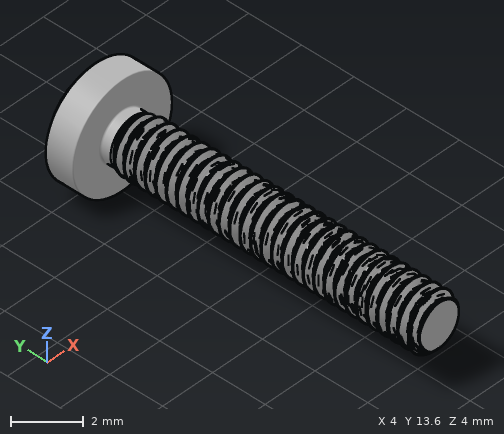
import cadquery as cq
import math

total_length = 13.6
head_radius = 2.0
head_height = 1.6
head_rim_height = 1.05
head_flat_radius = 0.98
dome_radius = 3.05
head_edge_fillet = 0.04

shank_length = total_length - head_height
neck_radius = 0.88
neck_length = 0.37
neck_fillet = 0.07
run_in_length = 0.37
tip_radius = 0.82
tip_chamfer_length = 0.18

major_diameter = 2.0
major_radius = major_diameter / 2
pitch = major_diameter / 5
root_radius = 0.76
root_width = pitch / 4
crest_width = pitch / 8
thread_length = shank_length - neck_length
flank_points = 7

crest_clearance = 0.03
clear_radius = major_radius + crest_clearance


def revolve_profile(profile):
    """Turn a half profile, drawn with x as radius, about the Y axis."""
    return profile.close().revolve(360, (0, 0, 0), (0, 1, 0))


def make_head():
    """Cylindrical rim under a spherical dome with a flat top."""
    dome_height = head_height - head_rim_height
    dome_width = head_radius - head_flat_radius
    chord = math.hypot(dome_width, dome_height)
    bulge = dome_radius - math.sqrt(dome_radius**2 - (chord / 2) ** 2)
    dome_middle = (
        (head_radius + head_flat_radius) / 2 + bulge * dome_height / chord,
        (head_height + head_rim_height) / 2 + bulge * dome_width / chord,
    )
    profile = (
        cq.Workplane("XY")
        .lineTo(head_radius, 0)
        .lineTo(head_radius, head_rim_height)
        .threePointArc(dome_middle, (head_flat_radius, head_height))
        .lineTo(0, head_height)
    )
    return revolve_profile(profile).faces("<Y").edges().fillet(head_edge_fillet)


def make_neck():
    """Plain cylinder under the head, flared by a fillet at the bearing face."""
    flare_radius = neck_radius + neck_fillet
    arc_offset = neck_fillet * math.sqrt(0.5)
    profile = (
        cq.Workplane("XY")
        .lineTo(flare_radius, 0)
        .threePointArc(
            (flare_radius - arc_offset, arc_offset - neck_fillet),
            (neck_radius, -neck_fillet),
        )
        .lineTo(neck_radius, -neck_length)
        .lineTo(0, -neck_length)
    )
    return revolve_profile(profile)


def make_thread_section():
    """Cross-section of the threaded rod square to its axis.

    Once round the section is one pitch along the thread, so the straight flanks
    of the V form become spirals and the crest and root become arcs.
    """
    start_angle = -2 * math.pi * thread_length / pitch
    half_crest = crest_width / 2
    half_root_start = (pitch - root_width) / 2

    def section_point(radius, axial_offset):
        angle = start_angle + 2 * math.pi * axial_offset / pitch
        return (radius * math.cos(angle), radius * math.sin(angle))

    def flank(side):
        """Spiral points from crest to root, on side +1 or -1 of the crest."""
        points = []
        for index in range(flank_points):
            depth = index / (flank_points - 1)
            radius = major_radius + depth * (root_radius - major_radius)
            offset = half_crest + depth * (half_root_start - half_crest)
            points.append(section_point(radius, side * offset))
        return points

    leading = flank(1)
    trailing = flank(-1)[::-1]
    return (
        cq.Workplane("XZ", origin=(0, -neck_length, 0))
        .moveTo(*trailing[-1])
        .threePointArc(section_point(major_radius, 0), leading[0])
        .spline(leading[1:], includeCurrent=True)
        .threePointArc(section_point(root_radius, pitch / 2), trailing[0])
        .spline(trailing[1:], includeCurrent=True)
        .close()
    )


def make_thread_envelope():
    """Solid that trims the thread to a conical run-in and a chamfered tip."""
    tip_y = -shank_length
    run_in_slope = run_in_length / (major_radius - neck_radius)
    tip_slope = tip_chamfer_length / (major_radius - tip_radius)
    profile = (
        cq.Workplane("XY")
        .moveTo(0, -neck_length)
        .lineTo(neck_radius, -neck_length)
        .lineTo(clear_radius, -neck_length - run_in_slope * (clear_radius - neck_radius))
        .lineTo(clear_radius, tip_y + tip_slope * (clear_radius - tip_radius))
        .lineTo(tip_radius, tip_y)
        .lineTo(0, tip_y)
    )
    return revolve_profile(profile)


def make_threaded_rod():
    """Thread section twisted along the rod and trimmed at both ends."""
    twist = 360 * thread_length / pitch
    return make_thread_section().twistExtrude(thread_length, twist).intersect(make_thread_envelope())


result = make_head().union(make_neck()).union(make_threaded_rod())